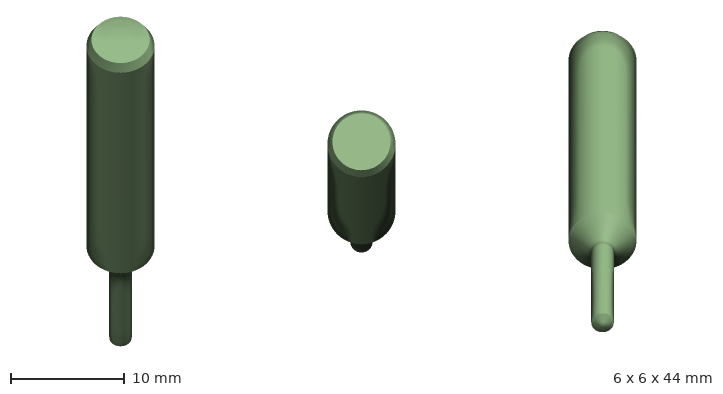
import cadquery as cq

total_length = 44.0
shank_diameter = 6.0
drill_diameter = 2.0
point_height = 0.55
drill_length = 12.0
taper_height = 1.85
end_chamfer_width = 0.45
end_chamfer_height = 0.85

shank_radius = shank_diameter / 2
drill_radius = drill_diameter / 2
taper_top = drill_length + taper_height
chamfer_start = total_length - end_chamfer_height
end_face_radius = shank_radius - end_chamfer_width


def revolve_profile(points):
    """Turn a closed half profile of (radius, height) points about the Z axis."""
    return cq.Workplane("XZ").polyline(points).close().revolve(360, (0, 0, 0), (0, 1, 0))


shank = revolve_profile([
    (0, drill_length),
    (drill_radius, drill_length),
    (shank_radius, taper_top),
    (shank_radius, chamfer_start),
    (end_face_radius, total_length),
    (0, total_length),
])

drill = revolve_profile([
    (0, 0),
    (drill_radius, point_height),
    (drill_radius, drill_length),
    (0, drill_length),
])

result = cq.Compound.makeCompound([shank.val(), drill.val()])